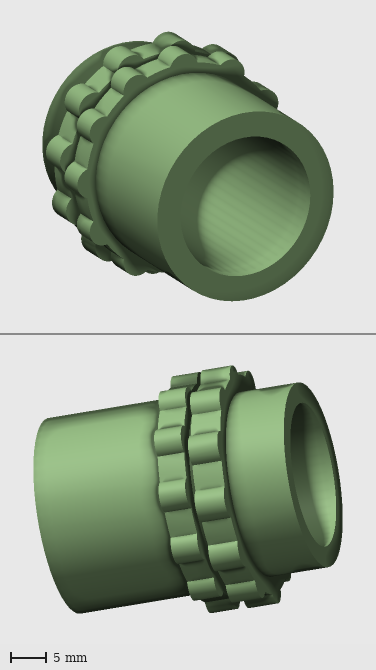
import cadquery as cq
import math

length = 37.0
bore_diameter = 20.6
thread_diameter = 26.45
sleeve_diameter = 28.0

grip_count = 12

collar_start = 14.1
collar_end = 18.05
collar_rim_radius = 15.5
collar_lobe_center_radius = 14.7
collar_lobe_radius = 2.25

nut_start = 8.62
nut_end = 13.0
nut_rim_radius = 15.72
nut_lobe_center_radius = 14.8
nut_lobe_radius = 2.4
nut_turn = -7.8


def cylinder(start, end, radius):
    """Round bar along X between two X positions."""
    return cq.Workplane("YZ", origin=(start, 0, 0)).circle(radius).extrude(end - start)


def lobed_disc(start, end, rim_radius, lobe_center_radius, lobe_radius, turn=0.0):
    """Disc along X with round grip lobes on its rim, turned about X."""
    disc = cylinder(start, end, rim_radius)
    for index in range(grip_count):
        angle = math.radians(turn + index * 360.0 / grip_count)
        center_y = lobe_center_radius * math.cos(angle)
        center_z = lobe_center_radius * math.sin(angle)
        lobe = cylinder(start, end, lobe_radius).translate((0, center_y, center_z))
        disc = disc.union(lobe)
    return disc


def make_adapter():
    """Tube with a slimmer thread end, a lobed collar and a wider sleeve."""
    thread = cylinder(0, collar_start, thread_diameter / 2)
    collar = lobed_disc(
        collar_start, collar_end, collar_rim_radius, collar_lobe_center_radius, collar_lobe_radius
    )
    sleeve = cylinder(collar_end, length, sleeve_diameter / 2)
    bore = cylinder(0, length, bore_diameter / 2)
    return thread.union(collar).union(sleeve).cut(bore)


def make_nut():
    """Lobed ring that fits around the thread end."""
    ring = lobed_disc(
        nut_start, nut_end, nut_rim_radius, nut_lobe_center_radius, nut_lobe_radius, nut_turn
    )
    return ring.cut(cylinder(nut_start, nut_end, thread_diameter / 2))


adapter = make_adapter()
nut = make_nut()

result = cq.Compound.makeCompound([adapter.val(), nut.val()])